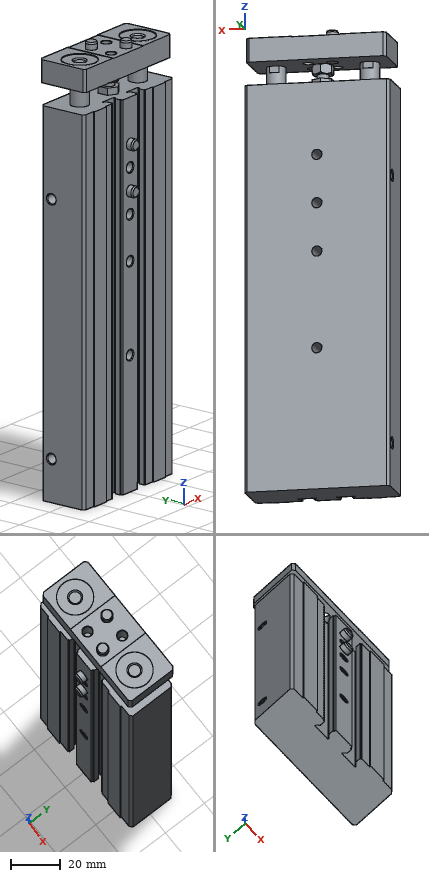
import cadquery as cq


UP = cq.Vector(0, 0, 1)
DOWN = cq.Vector(0, 0, -1)
BACKWARD = cq.Vector(0, 1, 0)
FORWARD = cq.Vector(0, -1, 0)
RIGHT = cq.Vector(1, 0, 0)
SIDES = (-1, 1)

housing_width = 60.0
housing_height = 168.0
housing_front = -10.8
housing_back = 11.4
edge_chamfer = 1.1

slot_center = 8.0
slot_mouth_width = 6.3
slot_mouth_depth = 1.0
slot_neck_width = 5.1
slot_neck_depth = 3.2
slot_floor_width = 7.6
slot_depth = 5.0
slot_shoulder_depth = slot_neck_depth + (slot_floor_width - slot_neck_width) / 2

band_height = 0.5
band_inner = 15.8
band_outer = 23.8
center_band = slot_center - slot_neck_width / 2

thread_diameter = 5.0
tapped_diameter = 4.2
mouth_chamfer = (thread_diameter - tapped_diameter) / 2
first_hole_drop = 20.0
hole_pitch = first_hole_drop / 2
open_hole_steps = [1, 3, 5, 9]
plug_hole_steps = [0, 2]

port_heights = [18.6, 129.0]
port_y = 6.3
port_depth = 7.6
drill_tip_depth = 1.1

plate_width = 57.8
plate_thickness = 9.9
plate_front = -9.9
plate_back = 13.1
rod_spacing = 38.8
rod_diameter = 8.0
rod_length = 9.1
flat_width = 4.0
flat_height = 2.7
plate_bottom = housing_height + rod_length
plate_top = plate_bottom + plate_thickness

seat_diameter = 15.0
seat_depth = 0.4
countersink_diameter = 6.0
countersink_floor_diameter = 5.0
countersink_depth = 0.5
strip_width = 2 * hole_pitch
strip_depth = 0.2

plug_stand_out = 3.0
plug_tip_height = 0.8
plug_length = plug_stand_out + plate_thickness

hex_across_flats = 8.0
hex_corner_diameter = hex_across_flats * 2 / 3**0.5
bolt_head_height = 3.0
nut_height = 4.0
nut_chamfer = 0.5



def block(width, front, back, bottom, height):
    """Box centred on X = 0 with chamfered upright edges."""
    box = cq.Workplane("XY").box(width, back - front, height, centered=(True, False, False))
    return box.translate((0, front, bottom)).edges("|Z").chamfer(edge_chamfer)


def cylinder(diameter, base, direction, length):
    return cq.Workplane(cq.Solid.makeCylinder(diameter / 2, length, base, direction))


def cone(start_diameter, end_diameter, base, direction, length):
    return cq.Workplane(cq.Solid.makeCone(start_diameter / 2, end_diameter / 2, length, base, direction))


def tapped_hole(mouth, direction, depth):
    chamfer = cone(thread_diameter, tapped_diameter, mouth, direction, mouth_chamfer)
    return cylinder(tapped_diameter, mouth, direction, depth).union(chamfer)


def front_hole_mouth(step):
    """Point on the front face, counted in hole pitches below the highest hole."""
    return cq.Vector(0, housing_front, housing_height - first_hole_drop - step * hole_pitch)


def plate_hole_mouth(x_side, y_side):
    return cq.Vector(x_side * hole_pitch / 2, y_side * hole_pitch / 2, plate_top)



def make_plug(mouth, direction):
    """Round plug with a tapered tip, standing out of the hole at mouth."""
    root = mouth - direction * plate_thickness
    tip_base = mouth + direction * (plug_stand_out - plug_tip_height)
    shank = cylinder(thread_diameter, root, direction, plug_length - plug_tip_height)
    return shank.union(cone(thread_diameter, tapped_diameter, tip_base, direction, plug_tip_height))



def slot(x):
    """T-slot with a stepped mouth and 45 degree shoulders."""
    half_outline = [
        (slot_mouth_width / 2, 0),
        (slot_mouth_width / 2, slot_mouth_depth),
        (slot_neck_width / 2, slot_mouth_depth),
        (slot_neck_width / 2, slot_neck_depth),
        (slot_floor_width / 2, slot_shoulder_depth),
        (slot_floor_width / 2, slot_depth),
    ]
    outline = half_outline + [(-across, depth) for across, depth in reversed(half_outline)]
    cutter = cq.Workplane("XY").polyline(outline).close().extrude(housing_height)
    return cutter.translate((x, housing_front, 0))


def band(x_from, x_to):
    """Raised band on the front wall; its back half lies inside the wall."""
    strip = cq.Workplane("XY").box(x_to - x_from, 2 * band_height, housing_height, centered=False)
    return strip.translate((x_from, housing_front, 0))


def port(height):
    """Blind side port that ends in a drill point."""
    mouth = cq.Vector(-housing_width / 2, port_y, height)
    drill_point = cone(tapped_diameter, 0, mouth + RIGHT * port_depth, RIGHT, drill_tip_depth)
    return tapped_hole(mouth, RIGHT, port_depth).union(drill_point)


def make_housing(plugs):
    body = block(housing_width, housing_front + band_height, housing_back, 0, housing_height)
    for x_from, x_to in [(-band_outer, -band_inner), (-center_band, center_band), (band_inner, band_outer)]:
        body = body.union(band(x_from, x_to))
    for side in SIDES:
        body = body.cut(slot(side * slot_center))
    for step in open_hole_steps:
        body = body.cut(tapped_hole(front_hole_mouth(step), BACKWARD, housing_back - housing_front))
    for height in port_heights:
        body = body.cut(port(height))
    for plug in plugs:
        body = body.cut(plug)
    return body



def guide_rod(x):
    """Rod with a wrench flat at the front and back, just below the plate."""
    across_flats = (rod_diameter**2 - flat_width**2) ** 0.5
    outer = cq.Workplane("XY").box(rod_diameter, rod_diameter, flat_height)
    kept = cq.Workplane("XY").box(rod_diameter, across_flats, flat_height)
    flats = outer.cut(kept).translate((x, 0, plate_bottom - flat_height / 2))
    return cylinder(rod_diameter, cq.Vector(x, 0, housing_height), UP, rod_length).cut(flats)


def rod_seat(x):
    """Shallow round recess above a rod, with a countersink in its floor."""
    face = cq.Vector(x, 0, plate_top)
    floor = face + DOWN * seat_depth
    countersink = cone(countersink_diameter, countersink_floor_diameter, floor, DOWN, countersink_depth)
    return cylinder(seat_diameter, face, DOWN, seat_depth).union(countersink)


def center_strip():
    """Shallow strip that crosses the top of the plate from front to back."""
    length = plate_back - plate_front
    strip = cq.Workplane("XY").box(strip_width, length, strip_depth, centered=(True, False, False))
    return strip.translate((0, plate_front, plate_top - strip_depth))


def make_head(plugs):
    body = block(plate_width, plate_front, plate_back, plate_bottom, plate_thickness)
    body = body.cut(center_strip())
    for side in SIDES:
        x = side * rod_spacing / 2
        body = body.union(guide_rod(x))
        body = body.cut(rod_seat(x))
        body = body.cut(tapped_hole(plate_hole_mouth(side, side), DOWN, plate_thickness))
    for plug in plugs:
        body = body.cut(plug)
    return body



def hexagon(bottom, height):
    """Hexagonal prism with corners at the front and back."""
    prism = cq.Workplane("XY").polygon(6, hex_corner_diameter).extrude(height)
    return prism.rotate((0, 0, 0), (0, 0, 1), 90).translate((0, 0, bottom))


def make_stop_bolt():
    """Bolt whose head rests on the housing and whose shank reaches the plate."""
    shank = cylinder(thread_diameter, cq.Vector(0, 0, housing_height), UP, rod_length)
    return hexagon(housing_height, bolt_head_height).union(shank)


def make_lock_nut(bolt):
    """Nut against the underside of the plate, its corners chamfered at both ends."""
    bottom = plate_bottom - nut_height
    envelope = cylinder(hex_corner_diameter, cq.Vector(0, 0, bottom), UP, nut_height)
    envelope = envelope.faces("|Z").edges().chamfer(nut_chamfer)
    return hexagon(bottom, nut_height).intersect(envelope).cut(bolt)



front_plugs = [make_plug(front_hole_mouth(step), FORWARD) for step in plug_hole_steps]
plate_plugs = [make_plug(plate_hole_mouth(side, -side), UP) for side in SIDES]
housing = make_housing(front_plugs)
head = make_head(plate_plugs)
stop_bolt = make_stop_bolt()
lock_nut = make_lock_nut(stop_bolt)

plug_solids = [plug.solids().val() for plug in front_plugs + plate_plugs]
unit_solids = [unit.solids().val() for unit in (housing, head, stop_bolt, lock_nut)]
result = cq.Compound.makeCompound(unit_solids + plug_solids)